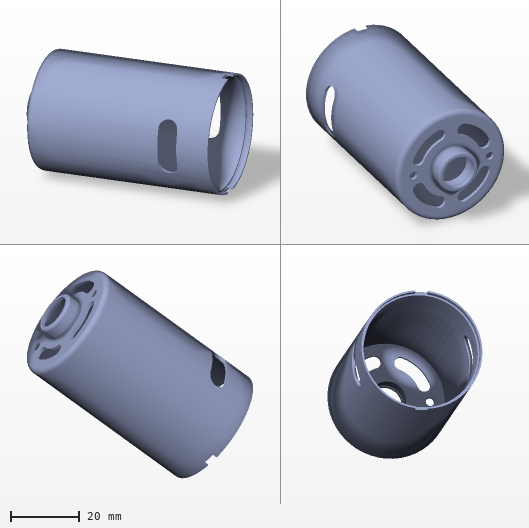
import cadquery as cq
import math

total_length = 61.5
can_diameter = 35.8
can_inner_diameter = 33.75
can_edge_radius = 1.55
rim_recess_diameter = 34.75
rim_recess_depth = 1.95
wall = (can_diameter - can_inner_diameter) / 2

hub_length = 4.5
hub_diameter = 13.0
hub_edge_radius = 0.8
hub_root_radius = 0.25
hub_mouth_diameter = 10.15
bearing_bore_diameter = 10.95

vent_width = 3.8
vent_center_radius = 11.8
vent_start_angle = 24.3
vent_end_angle = 70.9
screw_hole_diameter = 2.5
screw_hole_radius = 12.55

side_slot_x = 48.7
side_slot_width = 5.9
side_slot_height = 16.6
notch_width = 3.75
top_notch_depth = rim_recess_depth
bottom_notch_depth = 1.5

plate_back_x = hub_length + wall


def disc(diameter, start_x, end_x):
    """Solid cylinder around the X axis."""
    return cq.Workplane("YZ", origin=(start_x, 0, 0)).circle(diameter / 2).extrude(end_x - start_x)


def make_shell():
    can = disc(can_diameter, hub_length, total_length).faces("<X").edges().fillet(can_edge_radius)
    hub = disc(hub_diameter, 0, plate_back_x).faces("<X").edges().fillet(hub_edge_radius)
    body = can.union(hub)
    plate_face = body.faces(cq.selectors.NearestToPointSelector((hub_length, 0, 0)))
    body = plate_face.edges(cq.selectors.RadiusNthSelector(0)).fillet(hub_root_radius)
    cavity = disc(can_inner_diameter, plate_back_x, total_length)
    rim_recess = disc(rim_recess_diameter, total_length - rim_recess_depth, total_length)
    mouth = disc(hub_mouth_diameter, 0, plate_back_x)
    bearing_seat = disc(bearing_bore_diameter, wall, plate_back_x)
    return body.cut(cavity).cut(rim_recess).cut(mouth).cut(bearing_seat)


def polar(radius, angle):
    """Point in the YZ plane, with the angle in degrees from +Y."""
    return radius * math.cos(math.radians(angle)), radius * math.sin(math.radians(angle))


def make_vent():
    """Curved slot with round ends, in the +Y +Z quarter of the end plate."""
    inner = vent_center_radius - vent_width / 2
    outer = vent_center_radius + vent_width / 2
    middle_angle = (vent_start_angle + vent_end_angle) / 2

    def cap_tip(angle, direction):
        y, z = polar(vent_center_radius, angle)
        step_y, step_z = polar(vent_width / 2, angle + direction * 90)
        return y + step_y, z + step_z

    return (
        cq.Workplane("YZ", origin=(hub_length, 0, 0))
        .moveTo(*polar(outer, vent_start_angle))
        .threePointArc(polar(outer, middle_angle), polar(outer, vent_end_angle))
        .threePointArc(cap_tip(vent_end_angle, 1), polar(inner, vent_end_angle))
        .threePointArc(polar(inner, middle_angle), polar(inner, vent_start_angle))
        .threePointArc(cap_tip(vent_start_angle, -1), polar(outer, vent_start_angle))
        .close()
        .extrude(wall)
    )


def cut_plate_openings(body):
    vent = make_vent()
    vent_pair = vent.union(vent.mirror("XZ"))
    body = body.cut(vent_pair).cut(vent_pair.mirror("XY"))
    screw_holes = (
        cq.Workplane("YZ", origin=(hub_length, 0, 0))
        .pushPoints([(-screw_hole_radius, 0), (screw_hole_radius, 0)])
        .circle(screw_hole_diameter / 2)
        .extrude(wall)
    )
    return body.cut(screw_holes)


def make_notch(depth, side):
    """Notch in the open rim: side is 1 for the top and -1 for the bottom."""
    height = can_diameter / 2
    return cq.Workplane("XY").box(depth, notch_width, height).translate(
        (total_length - depth / 2, 0, side * height)
    )


def cut_wall_openings(body):
    side_slots = (
        cq.Workplane("XZ")
        .center(side_slot_x, 0)
        .slot2D(side_slot_height, side_slot_width, 90)
        .extrude(can_diameter / 2, both=True)
    )
    body = body.cut(side_slots)
    return body.cut(make_notch(top_notch_depth, 1)).cut(make_notch(bottom_notch_depth, -1))


result = cut_wall_openings(cut_plate_openings(make_shell()))